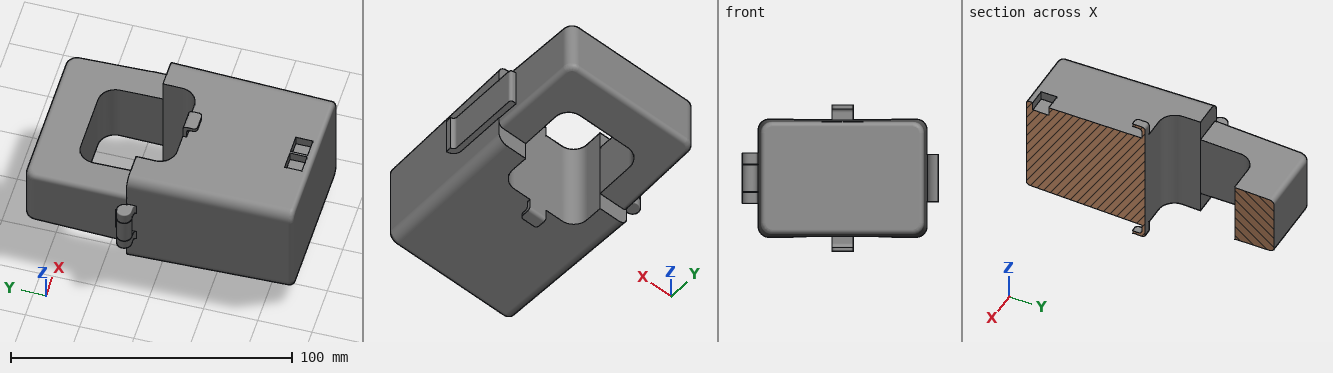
import cadquery as cq

CASE_WIDTH = 60.0
DRAFT_ANGLE = 1.0
HOUSING_LENGTH = 61.0
HOUSING_HEIGHT = 42.0
HOUSING_EDGE_RADIUS = 4.0
HOUSING_END_RADIUS = 1.7
LID_LENGTH = 38.0
LID_HEIGHT = 25.4
LID_CORNER_RADIUS = 4.0
LID_EDGE_RADIUS = 2.0

OPENING_WIDTH = 35.0
OPENING_BACK_Y = 22.2
OPENING_FRONT_Y = -13.4
OPENING_RADIUS = 6.3

EAR_WIDTH = 7.6
EAR_SPAN = 52.0
EAR_TOP_Z = EAR_SPAN / 2
EAR_LENGTH = 5.1
EAR_THICKNESS = 1.4
EAR_RADIUS = 1.4

SOCKET_WIDTH = 6.8
SOCKET_LENGTH = 6.3
SOCKET_DEPTH = 4.5
SOCKET_GAP = 0.8
SOCKET_CENTER_Y = -55.0

HINGE_X = -32.9
HINGE_RADIUS = 2.8
HINGE_HALF_HEIGHT = 9.0
LID_KNUCKLE_HALF_HEIGHT = 4.8
KNUCKLE_GAP = 0.2
KNUCKLE_END_RADIUS = 0.4
HOUSING_KNUCKLE_BLEND = 1.0
LID_KNUCKLE_BLEND = 1.2

LATCH_HEIGHT = 16.8
LATCH_INNER_X = 30.1
LATCH_THICKNESS = 2.3
LATCH_BACK_Y = 9.0
LATCH_BACK_RADIUS = 1.2
LATCH_FRONT_Y = -24.0
LATCH_TIP_X = 34.0

HALF_WIDTH = CASE_WIDTH / 2
ROOT = 2.0


def box(x_min, x_max, y_min, y_max, z_min, z_max):
    """Axis-aligned box between two corners."""
    size = (x_max - x_min, y_max - y_min, z_max - z_min)
    return cq.Workplane("XY").box(*size, centered=False).translate((x_min, y_min, z_min))


def tapered_block(height, length, direction):
    """Drafted block that starts on the split plane and runs along +Y or -Y."""
    plane = cq.Plane(origin=(0, 0, 0), xDir=(-direction, 0, 0), normal=(0, direction, 0))
    return cq.Workplane(plane).rect(CASE_WIDTH, height).extrude(length, taper=DRAFT_ANGLE)


def opening():
    """Rounded window through the full height of the case."""
    length = OPENING_BACK_Y - OPENING_FRONT_Y
    return (
        cq.Workplane("XY")
        .center(0, (OPENING_BACK_Y + OPENING_FRONT_Y) / 2)
        .rect(OPENING_WIDTH, length)
        .extrude(HOUSING_HEIGHT, both=True)
        .edges("|Z")
        .fillet(OPENING_RADIUS)
    )


def ear():
    """Upper ear: an arm that rises from the housing and bends toward -Y."""
    front_y = OPENING_FRONT_Y - EAR_LENGTH
    arm_front_y = OPENING_FRONT_Y - EAR_THICKNESS
    hook_z = EAR_TOP_Z - EAR_THICKNESS
    return (
        cq.Workplane("YZ")
        .moveTo(OPENING_FRONT_Y, HOUSING_HEIGHT / 2 - ROOT)
        .lineTo(OPENING_FRONT_Y, EAR_TOP_Z)
        .lineTo(front_y, EAR_TOP_Z)
        .lineTo(front_y, hook_z)
        .lineTo(arm_front_y, hook_z)
        .lineTo(arm_front_y, HOUSING_HEIGHT / 2 - ROOT)
        .close()
        .extrude(EAR_WIDTH / 2, both=True)
        .edges(cq.selectors.NearestToPointSelector((0, OPENING_FRONT_Y, EAR_TOP_Z)))
        .fillet(EAR_RADIUS)
        .edges(cq.selectors.NearestToPointSelector((0, arm_front_y, hook_z)))
        .fillet(EAR_RADIUS)
        .edges("|Z and <Y")
        .fillet(EAR_RADIUS)
    )


def socket(side):
    """Terminal socket on the -X (side = -1) or +X (side = 1) of the centre plane."""
    center_x = side * (SOCKET_WIDTH + SOCKET_GAP) / 2
    top_z = HOUSING_HEIGHT / 2
    floor_z = top_z - SOCKET_DEPTH
    return box(
        center_x - SOCKET_WIDTH / 2,
        center_x + SOCKET_WIDTH / 2,
        SOCKET_CENTER_Y - SOCKET_LENGTH / 2,
        SOCKET_CENTER_Y + SOCKET_LENGTH / 2,
        floor_z,
        top_z,
    )


def knuckle(bottom_z, top_z, direction, blend):
    """Hinge barrel with a web to the case wall on its +Y or -Y side and a blend at the wall."""
    height = top_z - bottom_z
    web_y = direction * HINGE_RADIUS
    wall_x = -HALF_WIDTH
    barrel = cq.Workplane("XY").circle(HINGE_RADIUS).extrude(height).translate((HINGE_X, 0, bottom_z))
    web = (
        cq.Workplane("XY", origin=(0, 0, bottom_z))
        .moveTo(HINGE_X, 0)
        .lineTo(HINGE_X, web_y)
        .lineTo(wall_x - blend, web_y)
        .radiusArc((wall_x, web_y + direction * blend), -direction * blend)
        .lineTo(wall_x + ROOT, web_y + direction * blend)
        .lineTo(wall_x + ROOT, 0)
        .close()
        .extrude(height)
    )
    return barrel.union(web)


def latch():
    """Strap along the +X wall whose free end bends outward."""
    outer_x = LATCH_INNER_X + LATCH_THICKNESS
    root_x = HALF_WIDTH - ROOT
    outer_bend = LATCH_TIP_X - LATCH_INNER_X
    inner_bend = outer_bend - LATCH_THICKNESS
    bend_y = LATCH_FRONT_Y + outer_bend
    return (
        cq.Workplane("XY")
        .moveTo(root_x, 0)
        .lineTo(root_x, LATCH_BACK_Y)
        .lineTo(outer_x - LATCH_BACK_RADIUS, LATCH_BACK_Y)
        .radiusArc((outer_x, LATCH_BACK_Y - LATCH_BACK_RADIUS), LATCH_BACK_RADIUS)
        .lineTo(outer_x, bend_y)
        .radiusArc((LATCH_TIP_X, bend_y - inner_bend), -inner_bend)
        .lineTo(LATCH_TIP_X, LATCH_FRONT_Y)
        .radiusArc((LATCH_INNER_X, bend_y), outer_bend)
        .lineTo(LATCH_INNER_X, 0)
        .close()
        .extrude(LATCH_HEIGHT / 2, both=True)
    )


def make_housing():
    body = tapered_block(HOUSING_HEIGHT, HOUSING_LENGTH, -1)
    body = body.edges("not(#Y or >Y or <Y)").fillet(HOUSING_EDGE_RADIUS)
    body = body.faces("<Y").edges().fillet(HOUSING_END_RADIUS)
    body = body.cut(opening())
    for side in (-1, 1):
        body = body.cut(socket(side))
    outer_knuckle = knuckle(
        LID_KNUCKLE_HALF_HEIGHT + KNUCKLE_GAP, HINGE_HALF_HEIGHT, -1, HOUSING_KNUCKLE_BLEND
    )
    outer_knuckle = outer_knuckle.faces(">Z").edges("not >X").fillet(KNUCKLE_END_RADIUS)
    for upper in (ear(), outer_knuckle):
        body = body.union(upper).union(upper.mirror("XY"))
    return body


def make_lid():
    body = tapered_block(LID_HEIGHT, LID_LENGTH, 1)
    body = body.faces(">Y").edges("|Z").fillet(LID_CORNER_RADIUS)
    body = body.faces("<Z or >Z").edges("not <Y").fillet(LID_EDGE_RADIUS)
    body = body.cut(opening())
    body = body.union(knuckle(-LID_KNUCKLE_HALF_HEIGHT, LID_KNUCKLE_HALF_HEIGHT, 1, LID_KNUCKLE_BLEND))
    return body.union(latch())


housing = make_housing()
lid = make_lid()

result = cq.Compound.makeCompound([housing.solids().val(), lid.solids().val()])